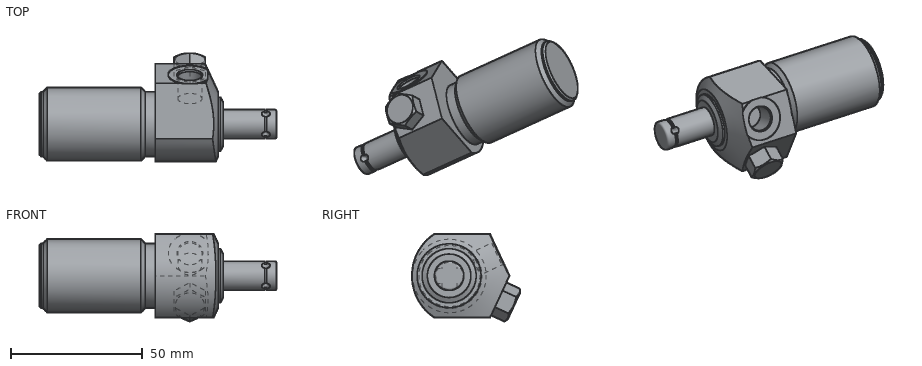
import math

import cadquery as cq

barrel_radius = 14.0
barrel_tip_radius = 11.6
neck_radius = 12.35
barrel_tip_length = 0.75
barrel_pilot_end = 1.4
barrel_lead_in_end = 3.0
barrel_full_end = 38.6
neck_start = 40.2

block_start = 44.0
block_end = 68.0
block_half_height = 15.9
block_front = -14.2
block_apex = 22.95
block_round_corner = -5.6
slant_angle = 25.0
block_end_face_radius = 12.15
block_end_bevel_angle = 25.0

collar_radius = 10.28
collar_bevel_start = 68.8
collar_end = 69.9
collar_bevel_drop = 2.0
shaft_radius = 5.6
shaft_end = 90.12
shaft_fillet = 0.9
groove_position = 86.05
groove_width = 0.8
groove_depth = 0.4
dimple_radius = 1.6
dimple_count = 4
dimple_first_angle = 45.0

fitting_x = 57.1
fitting_distance = 9.68
spotface_radius = 8.2
spotface_depth = 0.2
port_radius = 4.6
port_mouth_radius = 4.9
port_bevel_depth = 0.75
port_depth = 10.0
plug_across_flats = 12.0
plug_height = 6.4
plug_face_radius = 5.6
plug_bevel_angle = 30.0

slant_sin = math.sin(math.radians(slant_angle))
slant_cos = math.cos(math.radians(slant_angle))


def turned(points):
    """Solid of revolution about X from an (X, radius) outline closed along the axis."""
    outline = [(points[0][0], 0), *points, (points[-1][0], 0)]
    return cq.Workplane("XY").polyline(outline).close().revolve(360, (0, 0, 0), (1, 0, 0))


def slanted_plane(side):
    """Plane on a slanted face at the fitting centre; side is +1 for +Z and -1 for -Z."""
    centre_y = block_apex - fitting_distance * slant_sin
    centre_z = side * fitting_distance * slant_cos
    normal = (0, slant_cos, side * slant_sin)
    return cq.Plane(origin=(fitting_x, centre_y, centre_z), xDir=(1, 0, 0), normal=normal)


def make_barrel():
    return turned([
        (0, barrel_tip_radius),
        (barrel_tip_length, neck_radius),
        (barrel_pilot_end, neck_radius),
        (barrel_lead_in_end, barrel_radius),
        (barrel_full_end, barrel_radius),
        (neck_start, neck_radius),
        (block_start, neck_radius),
    ])


def make_block():
    slant_corner = block_apex - block_half_height * slant_sin / slant_cos
    prism = (
        cq.Workplane("YZ", origin=(block_start, 0, 0))
        .moveTo(block_apex, 0)
        .lineTo(slant_corner, block_half_height)
        .lineTo(block_round_corner, block_half_height)
        .threePointArc((block_front, 0), (block_round_corner, -block_half_height))
        .lineTo(slant_corner, -block_half_height)
        .close()
        .extrude(block_end - block_start)
    )
    bevel_slope = math.tan(math.radians(block_end_bevel_angle))
    bevel_start_radius = block_end_face_radius + (block_end - block_start) / bevel_slope
    bevel_cone = turned([(block_start, bevel_start_radius), (block_end, block_end_face_radius)])
    return prism.intersect(bevel_cone)


def make_collar():
    return turned([
        (block_end, collar_radius),
        (collar_bevel_start, collar_radius),
        (collar_end, collar_radius - collar_bevel_drop),
    ])


def make_shaft():
    shaft = (
        cq.Workplane("YZ", origin=(collar_end, 0, 0))
        .circle(shaft_radius)
        .extrude(shaft_end - collar_end)
        .faces(">X").edges().fillet(shaft_fillet)
    )
    groove = (
        cq.Workplane("YZ", origin=(groove_position - groove_width / 2, 0, 0))
        .circle(shaft_radius + groove_depth)
        .circle(shaft_radius - groove_depth)
        .extrude(groove_width)
    )
    shaft = shaft.cut(groove)
    for index in range(dimple_count):
        angle = math.radians(dimple_first_angle + index * 360 / dimple_count)
        outward = cq.Vector(0, math.cos(angle), math.sin(angle))
        tip = outward * (shaft_radius - dimple_radius) + cq.Vector(groove_position, 0, 0)
        cone = cq.Solid.makeCone(0, 2 * dimple_radius, 2 * dimple_radius, tip, outward)
        shaft = shaft.cut(cq.Workplane(obj=cone))
    return shaft


def make_port_cut():
    plane = slanted_plane(1)
    spotface = cq.Workplane(plane).circle(spotface_radius).extrude(-spotface_depth)
    bore = cq.Workplane(plane).circle(port_radius).extrude(-port_depth)
    mouth_centre = plane.toWorldCoords((0, 0, -spotface_depth))
    mouth = cq.Solid.makeCone(
        port_mouth_radius, port_radius, port_bevel_depth, mouth_centre, -plane.zDir
    )
    return spotface.union(bore).union(cq.Workplane(obj=mouth))


def make_plug():
    plane = slanted_plane(-1)
    corner_radius = plug_across_flats / math.sqrt(3)
    hexagon = (
        cq.Workplane(plane)
        .transformed(rotate=(0, 0, 90))
        .polygon(6, 2 * corner_radius)
        .extrude(plug_height)
    )
    cone_spread = plug_height / math.tan(math.radians(plug_bevel_angle))
    bevel_cone = cq.Solid.makeCone(
        plug_face_radius + cone_spread, plug_face_radius, plug_height, plane.origin, plane.zDir
    )
    return hexagon.intersect(cq.Workplane(obj=bevel_cone))


block = make_block().cut(make_port_cut())
result = make_barrel().union(block).union(make_collar()).union(make_shaft()).union(make_plug())